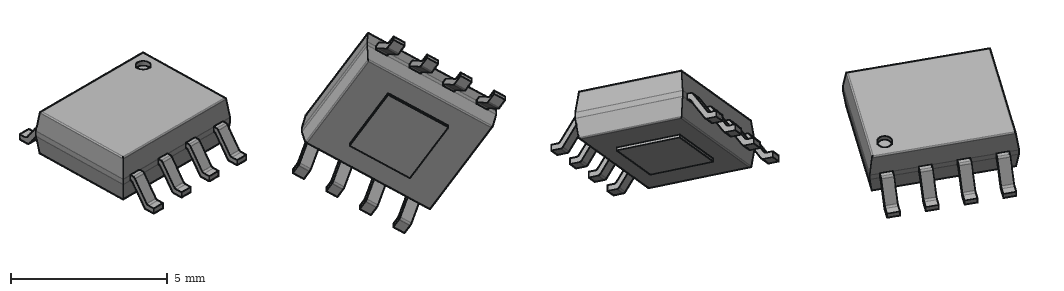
import cadquery as cq
import math

lead_span = 6.0
body_width = 3.9
body_length = 4.9
package_top = 1.75
standoff = 0.1

band_bottom = 0.8
band_top = 1.0
draft_angle = 7.0
edge_round = 0.05

mark_diameter = 0.485
mark_depth = 0.18
mark_x = -1.32
mark_y = 1.82

pad_side = 2.29

leads_per_side = 4
lead_pitch = 1.27
lead_width = 0.425
lead_thickness = band_top - band_bottom
foot_length = 0.295
shoulder_length = 0.175
bend_radius = 0.1


def make_drafted_half(start_z, height):
    """Half of the body, drafted inwards from start_z; a negative height goes down."""
    return (
        cq.Workplane("XY")
        .workplane(offset=start_z)
        .rect(body_width, body_length)
        .extrude(height, taper=draft_angle)
    )


def make_body():
    """Moulded body with rounded top and bottom rims and the pin-one mark."""
    upper = make_drafted_half(band_top, package_top - band_top).faces(">Z").edges().fillet(edge_round)
    lower = make_drafted_half(band_bottom, standoff - band_bottom).faces("<Z").edges().fillet(edge_round)
    band = (
        cq.Workplane("XY")
        .workplane(offset=band_bottom)
        .rect(body_width, body_length)
        .extrude(band_top - band_bottom)
    )
    mark = (
        cq.Workplane("XY")
        .workplane(offset=package_top - mark_depth)
        .center(mark_x, mark_y)
        .circle(mark_diameter / 2)
        .extrude(mark_depth)
    )
    return band.union(upper).union(lower).cut(mark)


def make_pad():
    """Thermal pad filling the gap between the board plane and the body."""
    return cq.Workplane("XY").rect(pad_side, pad_side).extrude(standoff)


def make_lead(center_y):
    """Lead on the -X side, a strip of constant thickness with two rounded bends."""
    tip_x = -lead_span / 2
    root_x = -body_width / 2
    lower_bend_x = tip_x + foot_length
    upper_bend_x = root_x - shoulder_length
    slope_angle = math.atan2(band_top - lead_thickness, upper_bend_x - lower_bend_x)
    miter_shift = lead_thickness * math.tan(slope_angle / 2)
    outline = [
        (tip_x, 0),
        (lower_bend_x + miter_shift, 0),
        (upper_bend_x + miter_shift, band_bottom),
        (root_x, band_bottom),
        (root_x, band_top),
        (upper_bend_x, band_top),
        (lower_bend_x, lead_thickness),
        (tip_x, lead_thickness),
    ]
    strip = (
        cq.Workplane("XZ", origin=(0, center_y, 0))
        .polyline(outline)
        .close()
        .extrude(lead_width / 2, both=True)
    )
    bends = strip.edges("|Y").edges(
        cq.selectors.BoxSelector(
            (tip_x + bend_radius, center_y - lead_width, -bend_radius),
            (root_x - bend_radius / 2, center_y + lead_width, band_top + bend_radius),
        )
    )
    return bends.fillet(bend_radius)


body = make_body()
pad = make_pad()

leads = []
for index in range(leads_per_side):
    center_y = (index - (leads_per_side - 1) / 2) * lead_pitch
    left_lead = make_lead(center_y)
    right_lead = left_lead.mirror("YZ")
    leads += [left_lead.val(), right_lead.val()]

result = cq.Compound.makeCompound([body.val(), pad.val(), *leads])